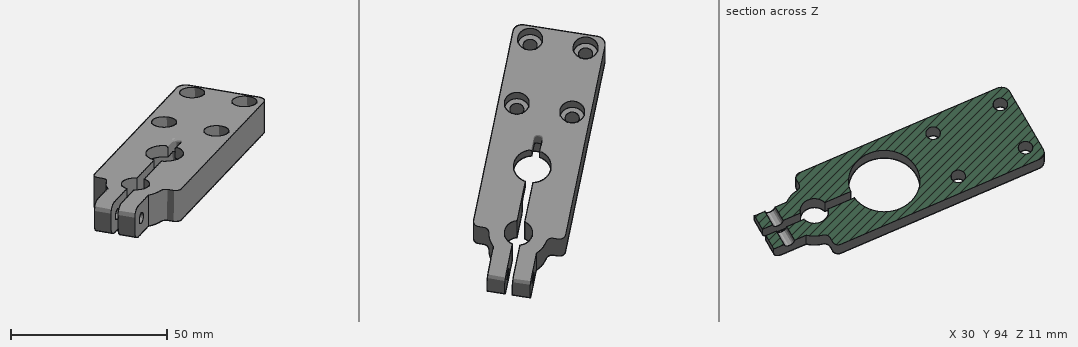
import cadquery as cq
import math

length = 94.0
width = 30.0
height = 11.0
back_corner_radius = 3.0
front_corner_radius = 2.0

shoulder_y = 18.05
neck_radius = 9.5
neck_fillet = 2.0
leg_span = 14.0
leg_tip_radius = 3.0
slit_width = 2.4
small_bore_diameter = 9.0
screw_diameter = 3.6
screw_y = 5.6

bore_y = 43.05
bore_diameter = 12.0
pocket_radius = 11.4
pocket_roof_z = 7.0
pocket_edge = 1.0
slot_reach = 11.3
slot_fillet = 1.0
slot_corner_radius = 1.0

mount_x = 9.0
mount_rows = (65.05, 89.1)
mount_diameter = 4.5
counterbore_diameter = 8.0
counterbore_depth = 4.0


def cylinder(x, y, z, diameter, depth):
    return cq.Workplane("XY", origin=(x, y, z)).circle(diameter / 2).extrude(depth)


def box_between(x_size, y_start, y_end, z_start, z_end):
    """Box centred on X between the given Y and Z limits."""
    return cq.Workplane("XY").box(
        x_size, y_end - y_start, z_end - z_start, centered=(True, False, False)
    ).translate((0, y_start, z_start))


def make_body():
    plate = box_between(width, shoulder_y, length, 0, height)
    plate = plate.edges("|Z and >Y").fillet(back_corner_radius)
    plate = plate.edges("|Z and <Y").fillet(front_corner_radius)
    legs = box_between(leg_span, 0, shoulder_y, 0, height)
    legs = legs.edges("|X and <Y").fillet(leg_tip_radius)
    neck = cylinder(0, shoulder_y, 0, 2 * neck_radius, height)
    return plate.union(legs).union(neck).union(make_neck_fillets())


def make_neck_fillets():
    """Fillers in the corners where the round neck meets the straight shoulder."""
    centre_distance = neck_radius + neck_fillet
    centre_x = math.sqrt(centre_distance**2 - neck_fillet**2)
    centre_y = shoulder_y - neck_fillet
    tangent_x = centre_x * neck_radius / centre_distance
    tangent_y = shoulder_y - neck_fillet * neck_radius / centre_distance
    middle_angle = (math.pi / 2 + math.atan2(tangent_y - centre_y, tangent_x - centre_x)) / 2
    middle = (
        centre_x + neck_fillet * math.cos(middle_angle),
        centre_y + neck_fillet * math.sin(middle_angle),
    )
    filler = (
        cq.Workplane("XY")
        .moveTo(0, shoulder_y)
        .lineTo(centre_x, shoulder_y)
        .threePointArc(middle, (tangent_x, tangent_y))
        .close()
        .extrude(height)
    )
    return filler.union(filler.mirror("YZ"))


def cut_key_slot(body):
    """Round-cornered slot from the bore to the pocket wall, with a rounded upper rim."""
    slot = box_between(slit_width, bore_y, bore_y + slot_reach, pocket_roof_z - pocket_edge, height)
    slot = slot.edges("|Z").fillet(slot_corner_radius)
    rim = cq.selectors.BoxSelector(
        (-slit_width, bore_y - slit_width, height - slot_fillet),
        (slit_width, bore_y + slot_reach + slit_width, height + slot_fillet),
    )
    return body.cut(slot).edges(rim).fillet(slot_fillet)


def cut_pocket(body):
    """Blind round pocket with a rounded roof corner and a rounded mouth."""
    pocket = cylinder(0, bore_y, 0, 2 * pocket_radius, pocket_roof_z)
    pocket = pocket.faces(">Z").edges().fillet(pocket_edge)
    mouth = cq.selectors.RadiusNthSelector(-1)
    return body.cut(pocket).faces("<Z").edges("%CIRCLE").edges(mouth).fillet(pocket_edge)


def make_mount_cutter(x, y):
    hole = cylinder(x, y, 0, mount_diameter, height)
    recess = cylinder(x, y, height - counterbore_depth, counterbore_diameter, counterbore_depth)
    return hole.union(recess)


result = make_body()
result = cut_pocket(result)
result = cut_key_slot(result)
result = result.cut(cylinder(0, bore_y, 0, bore_diameter, height))
result = result.cut(cylinder(0, shoulder_y, 0, small_bore_diameter, height))
result = result.cut(box_between(slit_width, 0, bore_y, 0, height))
for row_y in mount_rows:
    for side in (-1, 1):
        result = result.cut(make_mount_cutter(side * mount_x, row_y))

screw_hole = (
    cq.Workplane("YZ").center(screw_y, height / 2).circle(screw_diameter / 2).extrude(leg_span / 2, both=True)
)
result = result.cut(screw_hole)